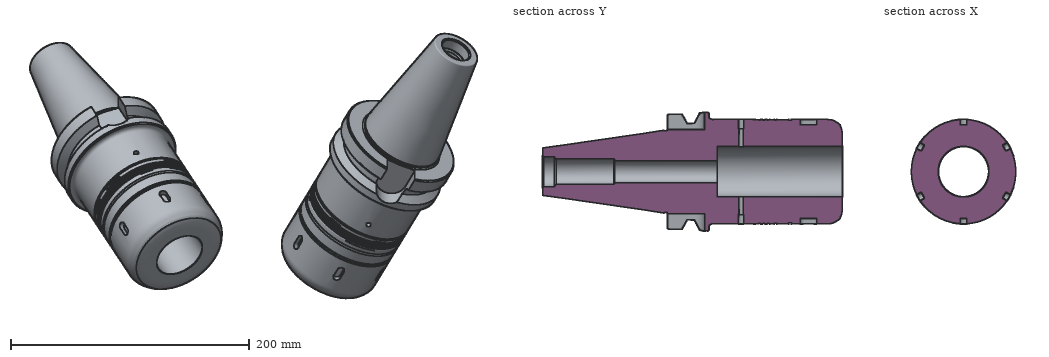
import cadquery as cq
import math


GAUGE_DIA = 69.85
TAPER_LENGTH = 101.8
TAPER_RATE = 7 / 24
TAPER_FILLET = 1.0
NECK_DIA = 68.9
NECK_START = 0.7
NECK_END = 2.3
NECK_FLARE_DIA = 72.0

FLANGE_DIA = 100.0
FLANGE_START = 3.0
FLANGE_END = 38.0
FLANGE_CHAMFER = 1.0
GROOVE_CENTRE = 22.7
GROOVE_FLOOR_DIA = 85.0
GROOVE_FLOOR_WIDTH = 6.1
GROOVE_FLANK_ANGLE = 30.0

DRIVE_SLOT_WIDTH = 25.7
DRIVE_SLOT_FLOOR = 35.4
DRIVE_SLOT_END = 34.0

BODY_DIA = 88.0
BODY_FILLET = 3.0
BAND_DIA = 87.6
GRIP_FLOOR_DIA = 87.0
RELIEF_DIA = 86.4
BAND_START = 75.3
BAND_END = 76.8
GRIP_CENTRE = 83.85
GRIP_PITCH = 3.8
GRIP_WIDTH = 2.3
GRIP_FLOOR_WIDTH = 0.8
GRIP_LEAN = 0.4
ROUND_GROOVE_CENTRE = 93.7
ROUND_GROOVE_WIDTH = 2.3
RELIEF_START = 104.7
RELIEF_END = 107.0

NOSE_START = 138.1
SHOULDER_RADIUS = 10.6
GENTLE_CONE_ANGLE = 30.0
STEEP_CONE_START = 146.4
STEEP_CONE_ANGLE = 45.0
END_ROUND_START = 148.0
NOSE_END = 150.0
END_FACE_DIA = 61.0

BACK_MOUTH_DIA = 27.0
BACK_BORE_DIA = 25.0
BACK_BORE_DEPTH = 10.0
THREAD_MOUTH_DIA = 24.0
THREAD_BORE_DIA = 21.0
THREAD_BORE_DEPTH = 60.0
DRILL_TIP_ANGLE = 59.0
THROUGH_DIA = 18.0
COLLET_BORE_DIA = 42.0
COLLET_MOUTH_DIA = 42.5
COLLET_BORE_START = 45.0

WRENCH_SLOT_COUNT = 6
WRENCH_SLOT_LENGTH = 13.5
WRENCH_SLOT_WIDTH = 6.0
WRENCH_SLOT_CENTRE = 121.3
WRENCH_SLOT_DEPTH = 4.5
RADIAL_HOLE_DIA = 3.4
RADIAL_MOUTH_DIA = 4.0
RADIAL_MOUTH_DEPTH = 8.0
RADIAL_HOLE_X = 64.8


def arc_point(centre_x, centre_r, radius, degrees):
    """Point on a circle in the (x, radius) half plane."""
    angle = math.radians(degrees)
    return (centre_x + radius * math.cos(angle), centre_r + radius * math.sin(angle))


def cone_end(start, end_x, degrees):
    """Point at end_x on a line that falls towards the axis from start."""
    return (end_x, start[1] - (end_x - start[0]) * math.tan(math.radians(degrees)))


def outer_body():
    """Revolve the outer outline about the X axis."""
    tail_radius = (GAUGE_DIA - TAPER_RATE * TAPER_LENGTH) / 2
    neck_radius = NECK_DIA / 2
    flange_radius = FLANGE_DIA / 2
    floor_radius = GROOVE_FLOOR_DIA / 2
    half_floor = GROOVE_FLOOR_WIDTH / 2
    flank_run = (flange_radius - floor_radius) * math.tan(math.radians(GROOVE_FLANK_ANGLE))
    body_radius = BODY_DIA / 2
    fillet_x = FLANGE_END + BODY_FILLET
    fillet_r = body_radius + BODY_FILLET

    shoulder_r = body_radius - SHOULDER_RADIUS
    gentle_start = arc_point(NOSE_START, shoulder_r, SHOULDER_RADIUS, 90 - GENTLE_CONE_ANGLE)
    steep_start = cone_end(gentle_start, STEEP_CONE_START, GENTLE_CONE_ANGLE)
    steep_end = cone_end(steep_start, END_ROUND_START, STEEP_CONE_ANGLE)
    face_radius = END_FACE_DIA / 2
    round_length = NOSE_END - END_ROUND_START
    round_height = steep_end[1] - face_radius
    end_round = (round_length**2 + round_height**2) / (2 * round_length)
    round_sweep = math.degrees(math.asin(round_height / end_round))

    outline = (
        cq.Workplane("XY")
        .moveTo(-TAPER_LENGTH, 0)
        .lineTo(-TAPER_LENGTH, tail_radius)
        .lineTo(0, GAUGE_DIA / 2)
        .lineTo(NECK_START, neck_radius)
        .lineTo(NECK_END, neck_radius)
        .lineTo(FLANGE_START, NECK_FLARE_DIA / 2)
        .lineTo(FLANGE_START, flange_radius - FLANGE_CHAMFER)
        .lineTo(FLANGE_START + FLANGE_CHAMFER, flange_radius)
        .lineTo(GROOVE_CENTRE - half_floor - flank_run, flange_radius)
        .lineTo(GROOVE_CENTRE - half_floor, floor_radius)
        .lineTo(GROOVE_CENTRE + half_floor, floor_radius)
        .lineTo(GROOVE_CENTRE + half_floor + flank_run, flange_radius)
        .lineTo(FLANGE_END - FLANGE_CHAMFER, flange_radius)
        .lineTo(FLANGE_END, flange_radius - FLANGE_CHAMFER)
        .lineTo(FLANGE_END, fillet_r)
        .threePointArc(
            arc_point(fillet_x, fillet_r, BODY_FILLET, 225),
            (fillet_x, body_radius),
        )
        .lineTo(NOSE_START, body_radius)
        .threePointArc(
            arc_point(NOSE_START, shoulder_r, SHOULDER_RADIUS, 90 - GENTLE_CONE_ANGLE / 2),
            gentle_start,
        )
        .lineTo(*steep_start)
        .lineTo(*steep_end)
        .threePointArc(
            arc_point(NOSE_END - end_round, face_radius, end_round, round_sweep / 2),
            (NOSE_END, face_radius),
        )
        .lineTo(NOSE_END, 0)
        .close()
    )
    turned = outline.revolve(360, (0, 0, 0), (1, 0, 0))
    return turned.faces("<X").edges().fillet(TAPER_FILLET)


def ring_cutter(top_start, floor_start, floor_end, top_end, floor_dia):
    """Ring that cuts a groove in the sleeve; equal floor ends give a V."""
    floor_radius = floor_dia / 2
    body_radius = BODY_DIA / 2
    points = [(top_start, body_radius), (floor_start, floor_radius)]
    if floor_end > floor_start:
        points.append((floor_end, floor_radius))
    points.append((top_end, body_radius))
    points.append((top_end, FLANGE_DIA / 2))
    points.append((top_start, FLANGE_DIA / 2))
    return cq.Workplane("XY").polyline(points).close().revolve(360, (0, 0, 0), (1, 0, 0))


def round_groove():
    """Ring that cuts the round-bottomed groove in the sleeve."""
    body_radius = BODY_DIA / 2
    half_width = ROUND_GROOVE_WIDTH / 2
    start = ROUND_GROOVE_CENTRE - half_width
    end = ROUND_GROOVE_CENTRE + half_width
    return (
        cq.Workplane("XY")
        .moveTo(start, FLANGE_DIA / 2)
        .lineTo(start, body_radius)
        .threePointArc((ROUND_GROOVE_CENTRE, GRIP_FLOOR_DIA / 2), (end, body_radius))
        .lineTo(end, FLANGE_DIA / 2)
        .close()
        .revolve(360, (0, 0, 0), (1, 0, 0))
    )


def sleeve_grooves():
    """All turned grooves in the sleeve."""
    band = ring_cutter(BAND_START, BAND_START, BAND_END, BAND_END, BAND_DIA)
    relief = ring_cutter(RELIEF_START, RELIEF_START, RELIEF_END, RELIEF_END, RELIEF_DIA)
    grooves = [band, relief, round_groove()]
    for step in (-1, 0, 1):
        centre = GRIP_CENTRE + step * GRIP_PITCH
        floor_centre = centre - step * GRIP_LEAN
        half_floor = 0 if step else GRIP_FLOOR_WIDTH / 2
        grooves.append(
            ring_cutter(
                centre - GRIP_WIDTH / 2,
                floor_centre - half_floor,
                floor_centre + half_floor,
                centre + GRIP_WIDTH / 2,
                GRIP_FLOOR_DIA,
            )
        )
    return grooves


def bores():
    """Stepped bore from the tail, through hole and collet bore, as one cutter."""
    tail = -TAPER_LENGTH
    mouth_chamfer = (BACK_MOUTH_DIA - BACK_BORE_DIA) / 2
    thread_chamfer = (THREAD_MOUTH_DIA - THREAD_BORE_DIA) / 2
    collet_chamfer = (COLLET_MOUTH_DIA - COLLET_BORE_DIA) / 2
    tip_length = (THREAD_BORE_DIA - THROUGH_DIA) / 2 / math.tan(math.radians(DRILL_TIP_ANGLE))
    bore_step = tail + BACK_BORE_DEPTH
    thread_end = tail + THREAD_BORE_DEPTH
    points = [
        (tail, 0),
        (tail, BACK_MOUTH_DIA / 2),
        (tail + mouth_chamfer, BACK_BORE_DIA / 2),
        (bore_step, BACK_BORE_DIA / 2),
        (bore_step, THREAD_MOUTH_DIA / 2),
        (bore_step + thread_chamfer, THREAD_BORE_DIA / 2),
        (thread_end, THREAD_BORE_DIA / 2),
        (thread_end + tip_length, THROUGH_DIA / 2),
        (COLLET_BORE_START, THROUGH_DIA / 2),
        (COLLET_BORE_START, COLLET_BORE_DIA / 2),
        (NOSE_END - collet_chamfer, COLLET_BORE_DIA / 2),
        (NOSE_END, COLLET_MOUTH_DIA / 2),
        (NOSE_END, 0),
    ]
    return cq.Workplane("XY").polyline(points).close().revolve(360, (0, 0, 0), (1, 0, 0))


def drive_slot():
    """Round-ended drive slot on the +Z side of the flange."""
    half_width = DRIVE_SLOT_WIDTH / 2
    round_centre = DRIVE_SLOT_END - half_width
    return (
        cq.Workplane("XY", origin=(0, 0, DRIVE_SLOT_FLOOR))
        .moveTo(FLANGE_START, -half_width)
        .lineTo(round_centre, -half_width)
        .threePointArc((DRIVE_SLOT_END, 0), (round_centre, half_width))
        .lineTo(FLANGE_START, half_width)
        .close()
        .extrude(FLANGE_DIA / 2)
    )


def wrench_slot():
    """Flat-bottomed wrench slot on the +Z side of the sleeve."""
    floor = BODY_DIA / 2 - WRENCH_SLOT_DEPTH
    return (
        cq.Workplane("XY", origin=(WRENCH_SLOT_CENTRE, 0, floor))
        .slot2D(WRENCH_SLOT_LENGTH, WRENCH_SLOT_WIDTH)
        .extrude(2 * WRENCH_SLOT_DEPTH)
    )


def radial_hole():
    """Hole straight across the sleeve along Z, wider at both mouths."""
    core = (
        cq.Workplane("XY", origin=(RADIAL_HOLE_X, 0, 0))
        .circle(RADIAL_HOLE_DIA / 2)
        .extrude(BODY_DIA, both=True)
    )
    mouth_floor = BODY_DIA / 2 - RADIAL_MOUTH_DEPTH
    mouth = (
        cq.Workplane("XY", origin=(RADIAL_HOLE_X, 0, mouth_floor))
        .circle(RADIAL_MOUTH_DIA / 2)
        .extrude(2 * RADIAL_MOUTH_DEPTH)
    )
    return core.union(mouth).union(around_axis(mouth, 180))


def around_axis(shape, degrees):
    """Turn a shape about the X axis."""
    return shape.rotate((0, 0, 0), (1, 0, 0), degrees)


holder = outer_body()
for groove in sleeve_grooves():
    holder = holder.cut(groove)
holder = holder.cut(bores())
for side_angle in (0, 180):
    holder = holder.cut(around_axis(drive_slot(), side_angle))
for index in range(WRENCH_SLOT_COUNT):
    holder = holder.cut(around_axis(wrench_slot(), index * 360 / WRENCH_SLOT_COUNT))
result = holder.cut(radial_hole())